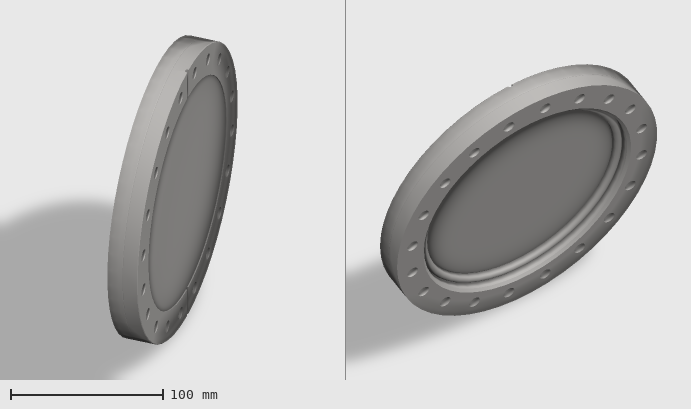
import cadquery as cq
import math

flange_diameter = 203.2
flange_thickness = 21.0
bore_diameter = 158.7
bore_chamfer = 1.8
rear_edge_chamfer = 0.5

rim_groove_width = 0.6
rim_groove_depth = 0.1

bolt_count = 20
bolt_diameter = 8.3
bolt_circle_diameter = 181.0

channel_diameter = 2.8
channel_axis_inset = 0.5

insert_diameter = bore_diameter
lip_outer_diameter = 157.9
lip_inner_diameter = 147.1
disc_diameter = 145.3
disc_front = 9.8
moat_depth = 0.6
lip_front = 5.5
lip_round_radius = 2.8
insert_back_recess = 0.8
insert_back = flange_thickness - insert_back_recess


def revolve_about_x(profile):
    """Close an (X, radius) profile and turn it fully around the X axis."""
    return profile.close().revolve(360, (0, 0, 0), (1, 0, 0))


def make_flange_blank():
    outer = flange_diameter / 2
    bore = bore_diameter / 2
    groove_middle = flange_thickness / 2
    groove_half = rim_groove_width / 2
    profile = (
        cq.Workplane("XY")
        .moveTo(0, bore + bore_chamfer)
        .lineTo(0, outer)
        .lineTo(groove_middle - groove_half, outer)
        .lineTo(groove_middle, outer - rim_groove_depth)
        .lineTo(groove_middle + groove_half, outer)
        .lineTo(flange_thickness - rear_edge_chamfer, outer)
        .lineTo(flange_thickness, outer - rear_edge_chamfer)
        .lineTo(flange_thickness, bore)
        .lineTo(bore_chamfer, bore)
    )
    return revolve_about_x(profile)


def make_bolt_holes():
    half_pitch = 180 / bolt_count
    return (
        cq.Workplane("YZ")
        .polarArray(bolt_circle_diameter / 2, half_pitch, 360, bolt_count)
        .circle(bolt_diameter / 2)
        .extrude(flange_thickness)
    )


def make_leak_channel():
    return (
        cq.Workplane("XY")
        .center(flange_thickness - channel_axis_inset, 0)
        .circle(channel_diameter / 2)
        .extrude(flange_diameter / 2, both=True)
    )


def make_flange():
    return make_flange_blank().cut(make_bolt_holes()).cut(make_leak_channel())


def make_insert():
    """Solid disc with a round-topped lip around it and a narrow moat between them."""
    outer = insert_diameter / 2
    lip_inner = lip_inner_diameter / 2
    lip_outer = lip_outer_diameter / 2
    crest = lip_outer - lip_round_radius
    shoulder = lip_front + lip_round_radius
    lip_inner_edge = shoulder - math.sqrt(lip_round_radius**2 - (crest - lip_inner) ** 2)
    disc = disc_diameter / 2
    moat_floor = disc_front + moat_depth
    profile = (
        cq.Workplane("XY")
        .moveTo(disc_front, 0)
        .lineTo(disc_front, disc)
        .lineTo(moat_floor, disc)
        .lineTo(moat_floor, lip_inner)
        .lineTo(lip_inner_edge, lip_inner)
        .threePointArc((lip_front, crest), (shoulder, lip_outer))
        .lineTo(shoulder, outer)
        .lineTo(insert_back, outer)
        .lineTo(insert_back, 0)
    )
    return revolve_about_x(profile)


flange = make_flange()
insert = make_insert()
result = cq.Compound.makeCompound([flange.val(), insert.val()])